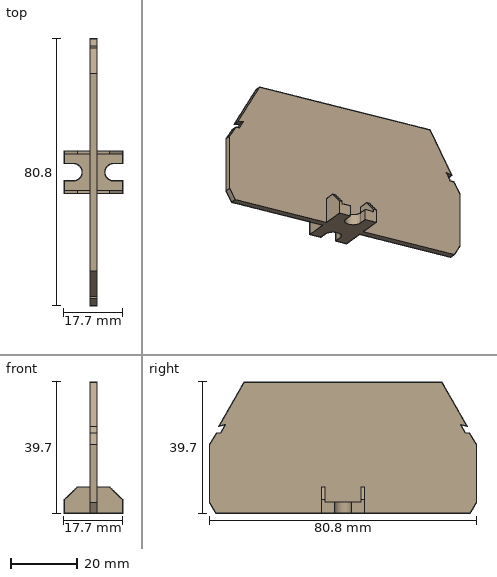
import cadquery as cq

plate_thickness = 2.3
plate_length = 80.8
plate_height = 39.7
top_half_length = 29.9
bottom_corner_length = 1.9
bottom_corner_height = 3.3

shoulder_height = 20.8
notch_floor_height = 24.3
notch_floor_outer_y = 38.2
notch_floor_inner_y = 37.0
notch_root_y = 35.65
notch_root_height = 26.75
tooth_tip_y = 37.6
tooth_tip_height = 26.3

foot_width = 17.7
foot_length = 12.9
floor_thickness = 3.4
wall_thickness = 1.0
wall_height = 8.0
wall_side_height = 4.1
wall_top_width = 9.6

slot_width = 5.2
slot_web = 6.95


def make_plate():
    half_length = plate_length / 2
    end_profile = [
        (half_length - bottom_corner_length, 0),
        (half_length, bottom_corner_height),
        (half_length, shoulder_height),
        (notch_floor_outer_y, notch_floor_height),
        (notch_floor_inner_y, notch_floor_height),
        (notch_root_y, notch_root_height),
        (tooth_tip_y, tooth_tip_height),
        (top_half_length, plate_height),
    ]
    mirrored_end = [(-y, z) for y, z in reversed(end_profile)]
    outline = cq.Workplane("YZ").polyline(end_profile + mirrored_end).close()
    return outline.extrude(plate_thickness / 2, both=True)


def make_wall(side):
    half_width = foot_width / 2
    half_top = wall_top_width / 2
    center_y = side * (foot_length - wall_thickness) / 2
    return (
        cq.Workplane("XZ")
        .polyline([
            (-half_width, 0),
            (half_width, 0),
            (half_width, wall_side_height),
            (half_top, wall_height),
            (-half_top, wall_height),
            (-half_width, wall_side_height),
        ])
        .close()
        .extrude(wall_thickness / 2, both=True)
        .translate((0, center_y, 0))
    )


def make_slot(side):
    radius = slot_width / 2
    round_center = slot_web / 2 + radius
    straight_length = foot_width / 2 - round_center
    round_end = cq.Workplane("XY").center(side * round_center, 0).circle(radius).extrude(floor_thickness)
    straight = (
        cq.Workplane("XY")
        .center(side * (round_center + straight_length / 2), 0)
        .rect(straight_length, slot_width)
        .extrude(floor_thickness)
    )
    return round_end.union(straight)


def make_foot():
    foot = cq.Workplane("XY").rect(foot_width, foot_length).extrude(floor_thickness)
    for side in (-1, 1):
        foot = foot.union(make_wall(side)).cut(make_slot(side))
    return foot


result = make_plate().union(make_foot())